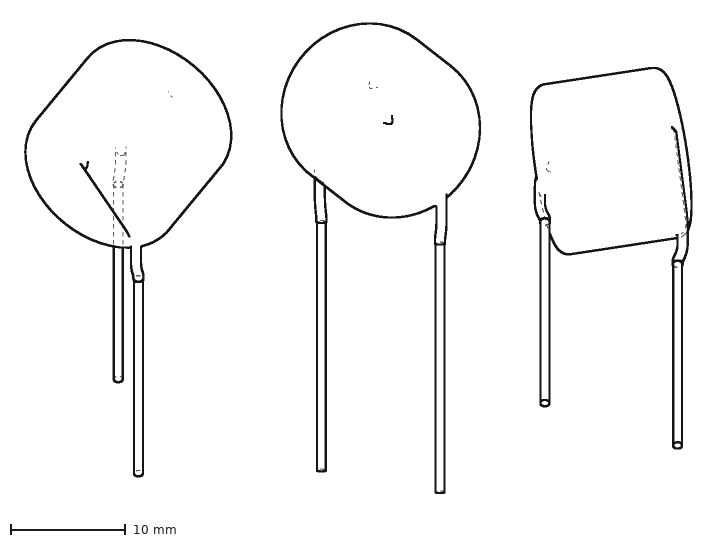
import math

import cadquery as cq

BODY_DIAMETER = 15.0
BODY_THICKNESS = 11.5
BODY_EDGE_RADIUS = 1.0
BODY_CENTER_Z = 10.0

OVERALL_THICKNESS = 12.0
COATING_DIAMETER = 0.9
LEAD_DIAMETER = 0.8
LEAD_LENGTH = 22.5
COATED_END_LENGTH = 0.2
LEAD_SPACING_X = 7.5

FACE_TILT = math.radians(37.6)
FACE_BEND_START_Z = 4.22
FACE_BEND_RADIUS = 2.8
FACE_STRAIGHT_LENGTH = 7.22
TIP_BEVEL_SETBACK = 0.4
COATING_FILLET = 0.15
SURFACE_TOLERANCE = 1e-4

S_BEND_START_Z = 2.25
S_BEND_ANGLE = math.radians(23.5)
S_BEND_UPPER_SHARE = 0.79

COATED_Y = -(OVERALL_THICKNESS - COATING_DIAMETER) / 2
LEAD_X = LEAD_SPACING_X / 2
S_BEND_END_Z = COATED_END_LENGTH / 2
S_BEND_RADIUS_SUM = (S_BEND_START_Z - S_BEND_END_Z) / math.sin(S_BEND_ANGLE)
UPPER_BEND_RADIUS = S_BEND_UPPER_SHARE * S_BEND_RADIUS_SUM
LOWER_BEND_RADIUS = S_BEND_RADIUS_SUM - UPPER_BEND_RADIUS
LEAD_Y = COATED_Y + S_BEND_RADIUS_SUM * (1 - math.cos(S_BEND_ANGLE))


def make_body():
    """Round disc with both rims rounded."""
    return (
        cq.Workplane("XZ", origin=(0, BODY_THICKNESS / 2, BODY_CENTER_Z))
        .circle(BODY_DIAMETER / 2)
        .extrude(BODY_THICKNESS)
        .edges("%CIRCLE")
        .fillet(BODY_EDGE_RADIUS)
    )


def s_bend_path():
    """Upper arc leans the wire inward, lower arc turns it vertical again."""
    upper_center_y = COATED_Y + UPPER_BEND_RADIUS
    lower_center_y = LEAD_Y - LOWER_BEND_RADIUS

    def upper(angle):
        return (
            upper_center_y - UPPER_BEND_RADIUS * math.cos(angle),
            S_BEND_START_Z - UPPER_BEND_RADIUS * math.sin(angle),
        )

    def lower(angle):
        return (
            lower_center_y + LOWER_BEND_RADIUS * math.cos(angle),
            S_BEND_END_Z + LOWER_BEND_RADIUS * math.sin(angle),
        )

    return (
        cq.Workplane("YZ", origin=(LEAD_X, 0, 0))
        .moveTo(LEAD_Y, -COATED_END_LENGTH / 2)
        .lineTo(LEAD_Y, S_BEND_END_Z)
        .threePointArc(lower(S_BEND_ANGLE / 2), lower(S_BEND_ANGLE))
        .threePointArc(upper(S_BEND_ANGLE / 2), (COATED_Y, S_BEND_START_Z))
    )


def face_bend_point(angle):
    """X and Z on the bend of the face wire, the angle counted from its start."""
    return (
        LEAD_X - FACE_BEND_RADIUS * (1 - math.cos(angle)),
        FACE_BEND_START_Z + FACE_BEND_RADIUS * math.sin(angle),
    )


def face_tip_point():
    """X and Z of the tip of the slanted run."""
    bend_end_x, bend_end_z = face_bend_point(FACE_TILT)
    return (
        bend_end_x - FACE_STRAIGHT_LENGTH * math.sin(FACE_TILT),
        bend_end_z + FACE_STRAIGHT_LENGTH * math.cos(FACE_TILT),
    )


def face_path():
    """Vertical run off the rim, then a bend into the slanted run across the disc face."""
    return (
        cq.Workplane("XZ", origin=(0, COATED_Y, 0))
        .moveTo(LEAD_X, S_BEND_START_Z)
        .lineTo(LEAD_X, FACE_BEND_START_Z)
        .threePointArc(face_bend_point(FACE_TILT / 2), face_bend_point(FACE_TILT))
        .lineTo(*face_tip_point())
    )


def sweep_coating(start_y, start_z, path):
    """Round coated wire that starts heading up."""
    start_plane = cq.Plane(origin=(LEAD_X, start_y, start_z), xDir=(0, -1, 0), normal=(0, 0, 1))
    return cq.Workplane(start_plane).circle(COATING_DIAMETER / 2).sweep(path)


def tip_bevel():
    """Wedge that slopes the tip from the disc face up to the crest of the wire."""
    tip_x, tip_z = face_tip_point()
    wedge_plane = cq.Plane(
        origin=(tip_x, -BODY_THICKNESS / 2, tip_z),
        xDir=(-math.sin(FACE_TILT), 0, math.cos(FACE_TILT)),
        normal=(math.cos(FACE_TILT), 0, math.sin(FACE_TILT)),
    )
    crest_height = (OVERALL_THICKNESS - BODY_THICKNESS) / 2
    slope_end = (-2 * TIP_BEVEL_SETBACK, 2 * crest_height)
    return (
        cq.Workplane(wedge_plane)
        .polyline([(0, 0), slope_end, (0, slope_end[1])])
        .close()
        .extrude(COATING_DIAMETER, both=True)
    )


def opposite(shape):
    return shape.rotate((0, 0, 0), (0, 0, 1), 180)


def lies_on_surface(point, shape):
    """True when the point lies on any face of the shape."""
    vertex = cq.Vertex.makeVertex(*point.toTuple())
    return any(face.distance(vertex) < SURFACE_TOLERANCE for face in shape.faces().vals())


def add_face_wire(body):
    """Join one slanted run to the disc and fillet the seam where the coating meets the disc."""
    wire = sweep_coating(COATED_Y, S_BEND_START_Z, face_path()).cut(tip_bevel())
    joined = body.union(wire)
    seam = []
    for edge in joined.edges().vals():
        middle = edge.positionAt(0.5)
        if lies_on_surface(middle, body) and lies_on_surface(middle, wire):
            seam.append(edge)
    return joined.newObject(seam).fillet(COATING_FILLET)


def make_lower_lead():
    """Coated S-bend with the bare lead below it."""
    coating = sweep_coating(LEAD_Y, -COATED_END_LENGTH / 2, s_bend_path())
    lead = cq.Workplane("XY", origin=(LEAD_X, LEAD_Y, 0)).circle(LEAD_DIAMETER / 2).extrude(-LEAD_LENGTH)
    return coating.union(lead)


disc_with_front_wire = add_face_wire(make_body())
disc_with_both_wires = add_face_wire(opposite(disc_with_front_wire))
lower_lead = make_lower_lead()
result = disc_with_both_wires.union(lower_lead).union(opposite(lower_lead))